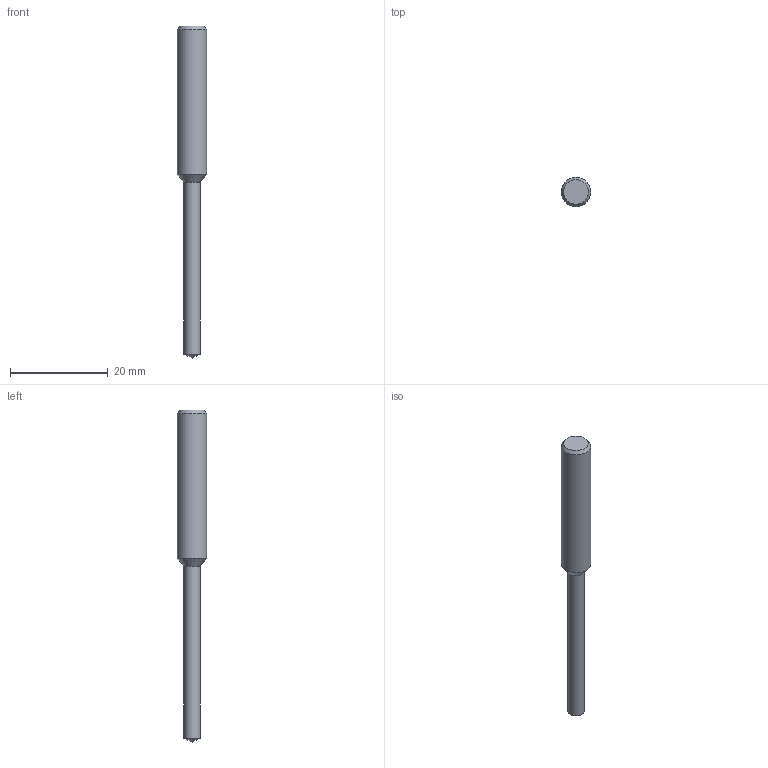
import cadquery as cq
import math

overall_length = 68.0

shank_radius = 3.0
shank_length = 32.0
end_chamfer_width = 0.48
end_chamfer_height = 0.75
neck_height = 1.6

drill_radius = 1.675
point_angle = 130.0
point_height = drill_radius / math.tan(math.radians(point_angle / 2))

shank_bottom = overall_length - shank_length


def revolve_profile(points):
    """Turn a closed (radius, height) outline about the Z axis."""
    return cq.Workplane("XZ").polyline(points).close().revolve(360, (0, 0, 0), (0, 1, 0))


def make_shank():
    """Cylindrical shank with a chamfered end and a cone down to the drill diameter."""
    return revolve_profile([
        (0, shank_bottom),
        (drill_radius, shank_bottom),
        (shank_radius, shank_bottom + neck_height),
        (shank_radius, overall_length - end_chamfer_height),
        (shank_radius - end_chamfer_width, overall_length),
        (0, overall_length),
    ])


def make_cutting_part():
    """Slender cylinder ending in the conical drill point."""
    return revolve_profile([
        (0, 0),
        (drill_radius, point_height),
        (drill_radius, shank_bottom),
        (0, shank_bottom),
    ])


shank = make_shank()
cutting_part = make_cutting_part()

result = cq.Compound.makeCompound([shank.val(), cutting_part.val()])